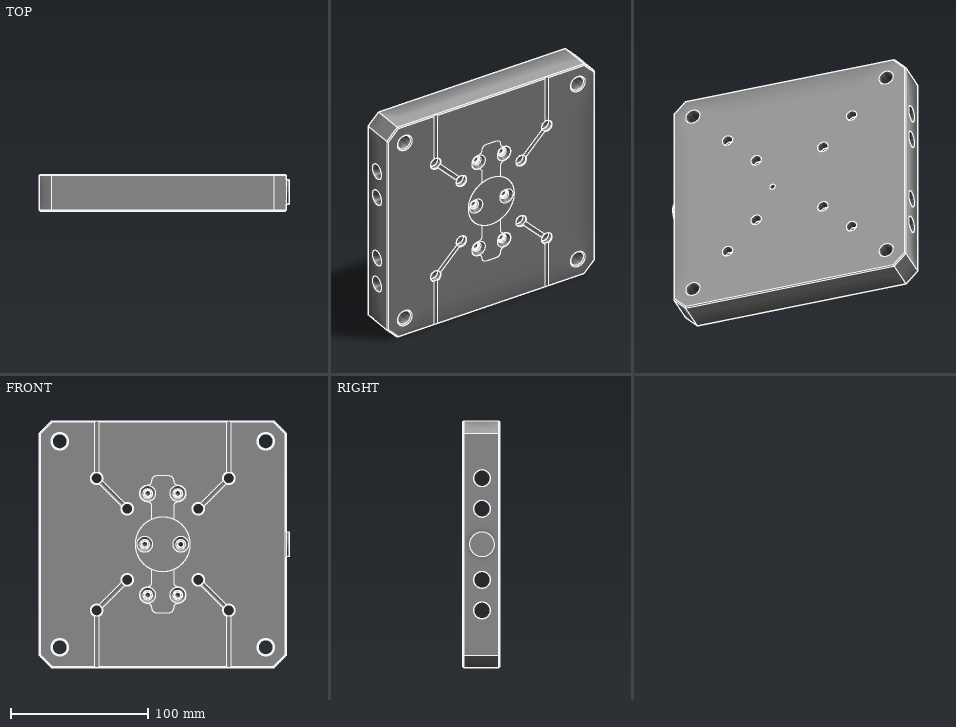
import cadquery as cq
import math

plate_width = 180.2
plate_height = 180.0
plate_thickness = 27.0
corner_cut = 9.1
edge_chamfer = 1.0
half_width = plate_width / 2
half_height = plate_height / 2
front_y = -plate_thickness / 2

mount_spacing = 150.1
mount_diameter = 11.0
mount_chamfer = 1.0

outer_offset = 48.2
inner_offset = 25.9
cross_diameter = 12.0
cross_y = 0.5
port_diameter = 8.0
port_seat_diameter = 8.4
port_chamfer = 0.4
port_seat_depth = 4.0

groove_width = 3.3
groove_depth = 0.7
groove_radius = ((groove_width / 2) ** 2 + groove_depth**2) / (2 * groove_depth)

insert_thickness = 4.0
disc_diameter = 40.0
disc_screw_x = 13.1
tab_reach = 50.0
tab_width = 16.0
ear_radius = 6.0
ear_blend_radius = 3.3
tab_screw_x = 11.0
tab_screw_z = 37.0

countersink_diameter = 11.5
clearance_diameter = 7.0
tapped_diameter = 4.2
tapped_mouth_diameter = 5.0
tapped_depth = 9.1
drill_tip_angle = 118

button_diameter = 18.0
button_height = 2.2
button_rounding = 0.4

both_sides = (-1, 1)
quadrants = [(x_side, z_side) for x_side in both_sides for z_side in both_sides]
disc_screws = [(side * disc_screw_x, 0) for side in both_sides]
vent_screw = disc_screws[1]


def tab_screws(z_side):
    return [(x_side * tab_screw_x, z_side * tab_screw_z) for x_side in both_sides]


def front_plane():
    """Sketch plane on the front face: local x is X, local y is Z, and extrusion goes to -Y."""
    return cq.Workplane("XZ", origin=(0, front_y, 0))


def bore(x, z, diameter, depth, top_depth=0.0):
    """Cylinder that starts `top_depth` below the front face and goes `depth` deeper."""
    start = cq.Vector(x, front_y + top_depth, z)
    return cq.Solid.makeCylinder(diameter / 2, depth, start, cq.Vector(0, 1, 0))


def cone(x, z, wide_diameter, narrow_diameter, depth, top_depth=0.0):
    """Cone that starts wide, `top_depth` below the front face, and narrows over `depth`."""
    start = cq.Vector(x, front_y + top_depth, z)
    return cq.Solid.makeCone(wide_diameter / 2, narrow_diameter / 2, depth, start, cq.Vector(0, 1, 0))


def chamfered_hole(x, z, diameter, chamfer, depth):
    """Hole along Y with a 45 degree chamfer at the front."""
    hole = bore(x, z, diameter, depth)
    return hole.fuse(cone(x, z, diameter + 2 * chamfer, diameter, chamfer))


def port_hole(x, z):
    """Through hole along Y with a wider seat at the front."""
    hole = bore(x, z, port_diameter, plate_thickness)
    return hole.fuse(chamfered_hole(x, z, port_seat_diameter, port_chamfer, port_seat_depth))


def countersunk_hole(x, z):
    """Clearance hole through an insert with a 90 degree countersink."""
    sink_depth = (countersink_diameter - clearance_diameter) / 2
    hole = bore(x, z, clearance_diameter, insert_thickness)
    return hole.fuse(cone(x, z, countersink_diameter, clearance_diameter, sink_depth))


def tapped_hole(x, z):
    """Hole in the floor under an insert: chamfered mouth and drilled bottom."""
    mouth_depth = (tapped_mouth_diameter - tapped_diameter) / 2
    tip_depth = tapped_diameter / 2 / math.tan(math.radians(drill_tip_angle / 2))
    hole = bore(x, z, tapped_diameter, tapped_depth, insert_thickness)
    mouth = cone(x, z, tapped_mouth_diameter, tapped_diameter, mouth_depth, insert_thickness)
    tip = cone(x, z, tapped_diameter, 0, tip_depth, insert_thickness + tapped_depth)
    return hole.fuse(mouth, tip)


def groove(start, end):
    """Cylinder between two (x, z) points that cuts a round-bottomed groove in the front face."""
    axis_y = front_y + groove_depth - groove_radius
    start_point = cq.Vector(start[0], axis_y, start[1])
    run = cq.Vector(end[0], axis_y, end[1]) - start_point
    return cq.Solid.makeCylinder(groove_radius, run.Length, start_point, run)


def disc_blank():
    return front_plane().circle(disc_diameter / 2).extrude(-insert_thickness)


def tab_blank(z_side):
    """Tab with rounded outer corners and an ear around each screw, ending at the disc."""
    half_tab = tab_width / 2
    blend_x = half_tab + ear_blend_radius
    centre_distance = ear_radius + ear_blend_radius
    blend_rise = math.sqrt(centre_distance**2 - (tab_screw_x - blend_x) ** 2)
    touch_share = ear_blend_radius / centre_distance
    touch_x = blend_x + (tab_screw_x - blend_x) * touch_share
    touch_rise = blend_rise * (1 - touch_share)
    blend_turn = math.atan2(blend_rise, tab_screw_x - blend_x)
    mid_angle = (math.pi + blend_turn) / 2
    mid_x = blend_x + ear_blend_radius * math.cos(mid_angle)
    mid_rise = blend_rise - ear_blend_radius * math.sin(mid_angle)
    corner_radius = tab_reach - tab_screw_z - blend_rise
    corner_mid = corner_radius * (1 - math.sqrt(0.5))

    def point(x, z):
        return (x, z_side * z)

    half = (
        front_plane()
        .lineTo(half_tab, 0)
        .lineTo(*point(half_tab, tab_screw_z - blend_rise))
        .threePointArc(point(mid_x, tab_screw_z - mid_rise), point(touch_x, tab_screw_z - touch_rise))
        .threePointArc(
            point(tab_screw_x + ear_radius, tab_screw_z), point(touch_x, tab_screw_z + touch_rise)
        )
        .threePointArc(
            point(mid_x, tab_screw_z + mid_rise), point(half_tab, tab_screw_z + blend_rise)
        )
        .threePointArc(
            point(half_tab - corner_mid, tab_reach - corner_mid),
            point(half_tab - corner_radius, tab_reach),
        )
        .lineTo(*point(0, tab_reach))
        .close()
        .extrude(-insert_thickness)
    )
    return half.union(half.mirror("YZ")).cut(disc_blank())


def make_plate():
    plate = (
        cq.Workplane("XY")
        .box(plate_width, plate_thickness, plate_height)
        .edges("|Y")
        .chamfer(corner_cut)
        .faces("<Y or >Y")
        .edges()
        .chamfer(edge_chamfer)
    )
    plate = plate.cut(disc_blank())
    for z_side in both_sides:
        plate = plate.cut(tab_blank(z_side))

    for x_side, z_side in quadrants:
        mount = (x_side * mount_spacing / 2, z_side * mount_spacing / 2)
        outer_port = (x_side * outer_offset, z_side * outer_offset)
        inner_port = (x_side * inner_offset, z_side * inner_offset)
        mount_hole = chamfered_hole(*mount, mount_diameter, mount_chamfer, plate_thickness)
        plate = plate.cut(cq.Workplane(mount_hole))
        for port in (outer_port, inner_port):
            plate = plate.cut(cq.Workplane(port_hole(*port)))
        plate = plate.cut(cq.Workplane(groove(inner_port, outer_port)))
        plate = plate.cut(cq.Workplane(groove(outer_port, (outer_port[0], z_side * half_height))))

    for z in (-outer_offset, -inner_offset, inner_offset, outer_offset):
        start = cq.Vector(-half_width, cross_y, z)
        cross_hole = cq.Solid.makeCylinder(cross_diameter / 2, plate_width, start, cq.Vector(1, 0, 0))
        plate = plate.cut(cq.Workplane(cross_hole))

    for x, z in disc_screws + tab_screws(-1) + tab_screws(1):
        plate = plate.cut(cq.Workplane(tapped_hole(x, z)))
    return plate.cut(cq.Workplane(bore(*vent_screw, tapped_diameter, plate_thickness)))


def make_disc():
    disc = disc_blank()
    for x, z in disc_screws:
        disc = disc.cut(cq.Workplane(countersunk_hole(x, z)))
    return disc


def make_tab(z_side):
    tab = tab_blank(z_side)
    for x, z in tab_screws(z_side):
        tab = tab.cut(cq.Workplane(countersunk_hole(x, z)))
    return tab


def make_button():
    """Round button standing on the +X side, level with the cross holes."""
    return (
        cq.Workplane("YZ", origin=(half_width, cross_y, 0))
        .circle(button_diameter / 2)
        .extrude(button_height)
        .faces(">X")
        .edges()
        .fillet(button_rounding)
    )


plate = make_plate()
disc = make_disc()
tabs = [make_tab(z_side) for z_side in both_sides]
button = make_button()

result = cq.Compound.makeCompound(
    [plate.val(), disc.val(), *[tab.val() for tab in tabs], button.val()]
)